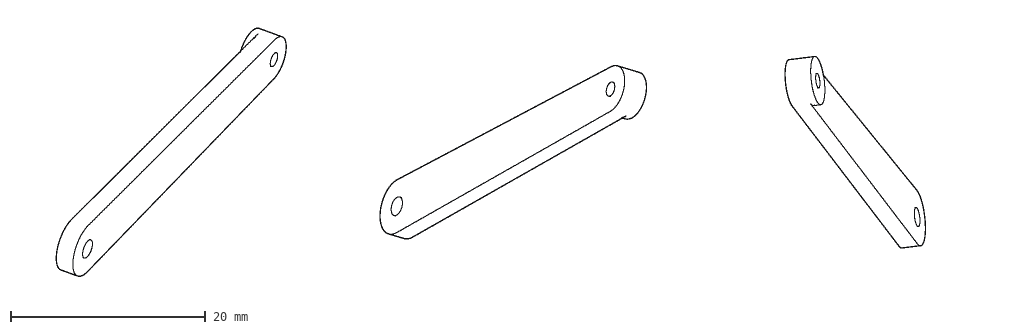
import cadquery as cq
import math

overall_length = 43.2
plate_thickness = 2.0
boss_height = 0.78
large_radius = 3.0
small_radius = 2.5
large_hole_diameter = 2.0
small_hole_diameter = 1.5
small_end_drop = 0.9

center_span = overall_length - large_radius - small_radius
large_center = (0.0, 0.0)
small_center = (center_span, -small_end_drop)

axis_angle = math.atan2(-small_end_drop, center_span)
center_distance = math.hypot(center_span, small_end_drop)
tangent_angle = math.acos((large_radius - small_radius) / center_distance)
upper_angle = axis_angle + tangent_angle
lower_angle = axis_angle - tangent_angle


def point_on_circle(center, radius, angle):
    return (
        center[0] + radius * math.cos(angle),
        center[1] + radius * math.sin(angle),
    )


def disc(center, diameter, thickness):
    return cq.Workplane("YZ").center(*center).circle(diameter / 2).extrude(thickness)


plate = (
    cq.Workplane("YZ")
    .moveTo(*point_on_circle(large_center, large_radius, upper_angle))
    .lineTo(*point_on_circle(small_center, small_radius, upper_angle))
    .threePointArc(
        point_on_circle(small_center, small_radius, axis_angle),
        point_on_circle(small_center, small_radius, lower_angle),
    )
    .lineTo(*point_on_circle(large_center, large_radius, lower_angle))
    .threePointArc(
        point_on_circle(large_center, large_radius, axis_angle + math.pi),
        point_on_circle(large_center, large_radius, upper_angle),
    )
    .close()
    .extrude(plate_thickness)
)

boss = disc(small_center, 2 * small_radius, -boss_height)

large_hole = disc(large_center, large_hole_diameter, plate_thickness)
small_hole = disc(small_center, small_hole_diameter, plate_thickness).union(
    disc(small_center, small_hole_diameter, -boss_height)
)

result = plate.union(boss).cut(large_hole).cut(small_hole)